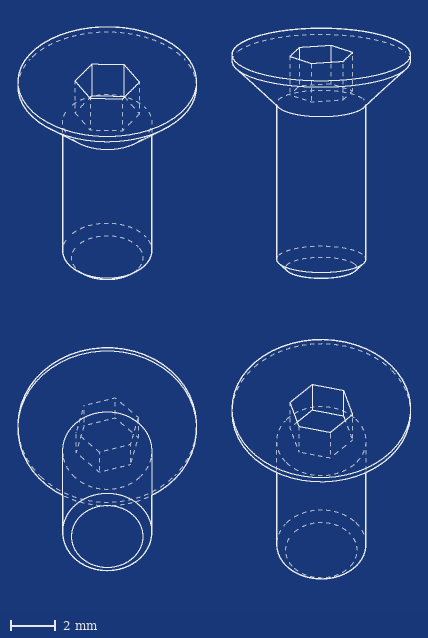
import cadquery as cq
import math

total_length = 10.0
head_diameter = 8.0
shank_diameter = 4.0
rim_height = 0.3
tip_chamfer = 0.4
socket_across_flats = 2.5
socket_depth = 1.8

head_radius = head_diameter / 2
shank_radius = shank_diameter / 2
cone_height = head_radius - shank_radius
rim_bottom = total_length - rim_height
cone_bottom = rim_bottom - cone_height


def screw_body():
    """Revolve the half profile of tip, shank, countersink and rim."""
    return (
        cq.Workplane("XZ")
        .moveTo(0, 0)
        .lineTo(shank_radius - tip_chamfer, 0)
        .lineTo(shank_radius, tip_chamfer)
        .lineTo(shank_radius, cone_bottom)
        .lineTo(head_radius, rim_bottom)
        .lineTo(head_radius, total_length)
        .lineTo(0, total_length)
        .close()
        .revolve(360, (0, 0, 0), (0, 1, 0))
    )


def hex_socket():
    """Hexagonal prism with two corners on the X axis, sunk from the head top."""
    across_corners = socket_across_flats / math.cos(math.pi / 6)
    return (
        cq.Workplane("XY")
        .workplane(offset=total_length)
        .polygon(6, across_corners)
        .extrude(-socket_depth)
    )


result = screw_body().cut(hex_socket())